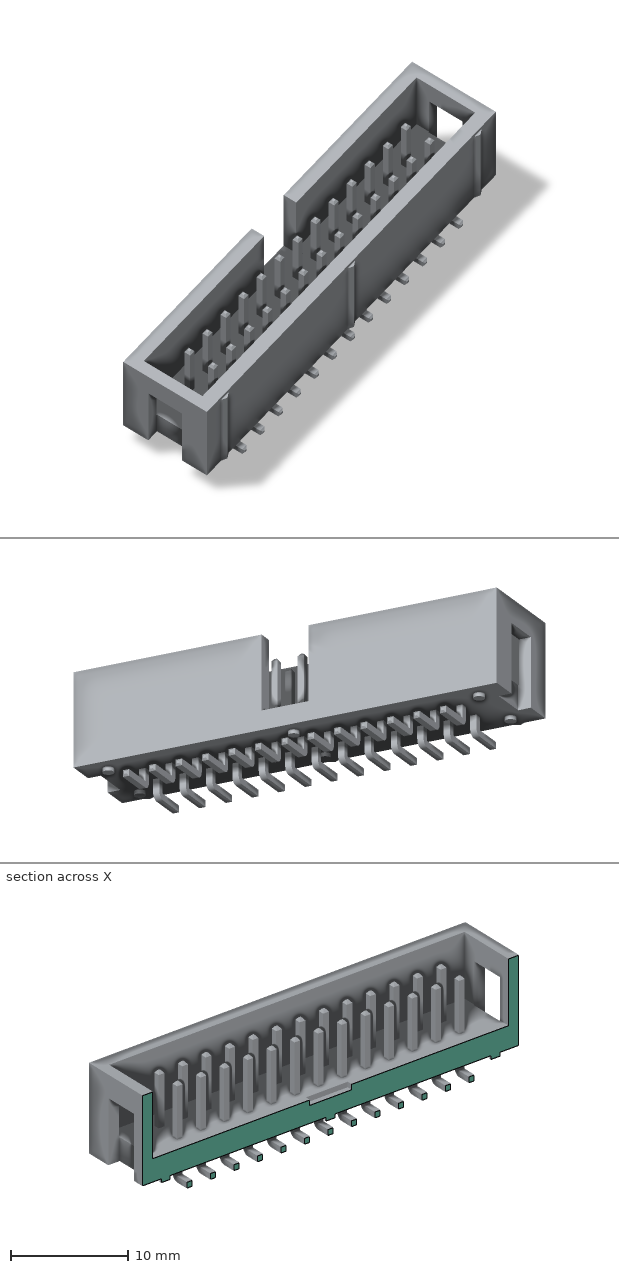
import cadquery as cq
import math

length = 40.7
width = 8.95
height = 8.8
side_wall = 1.35
end_wall = 1.15
floor_thickness = 2.3

window_width = 3.6
window_top = 6.5
window_floor_bite = 0.1
window_depth = end_wall + window_floor_bite

notch_width = 4.5
notch_depth = 2.07
notch_bottom = 1.8

rows = 13
row_span = 30.45
row_pitch = row_span / (rows - 1)
column_spacing = row_pitch
pin_size = 0.6
pin_top = 7.73
foot_bottom = -1.85
foot_reach = 4.75
shank_tip_length = 0.25
foot_tip_length = 0.15
tip_inset = 0.185
bend_radius = 0.65

support_places = (-17.8, 0.0, 17.8)
standoff_diameter = 1.0
standoff_height = 0.35
standoff_offset = 2.9
rib_base = 1.05
rib_height = 8.42
rib_projection = foot_reach - width / 2


def box_on(x_size, y_size, z_bottom, z_top):
    """Box centred on the Z axis between two heights."""
    box = cq.Workplane("XY").workplane(offset=z_bottom).rect(x_size, y_size)
    return box.extrude(z_top - z_bottom)


def make_housing():
    body = box_on(width, length, 0, height)
    body = body.cut(box_on(width - 2 * side_wall, length - 2 * end_wall, floor_thickness, height))
    window = box_on(window_width, window_depth, 0, window_top)
    for side in (-1, 1):
        body = body.cut(window.translate((0, side * (length - window_depth) / 2, 0)))
    notch = box_on(notch_depth, notch_width, notch_bottom, height)
    return body.cut(notch.translate(((notch_depth - width) / 2, 0, 0)))


def make_tip(plane, tip_length):
    """Tapered square pin end, growing along the normal of the plane."""
    end_size = pin_size - 2 * tip_inset
    tip = cq.Workplane(plane).rect(pin_size, pin_size).workplane(offset=tip_length)
    return tip.rect(end_size, end_size).loft()


def make_pin():
    """Pin of the +X column at Y = 0: upright shank, rounded outer bend and foot towards +X."""
    inner = (column_spacing - pin_size) / 2
    outer = inner + pin_size
    shank_top = pin_top - shank_tip_length
    foot_top = foot_bottom + pin_size
    foot_end = foot_reach - foot_tip_length
    bend_middle = bend_radius * (1 - math.sqrt(0.5))
    pin = (
        cq.Workplane("XZ")
        .moveTo(inner, shank_top)
        .lineTo(outer, shank_top)
        .lineTo(outer, foot_top)
        .lineTo(foot_end, foot_top)
        .lineTo(foot_end, foot_bottom)
        .lineTo(inner + bend_radius, foot_bottom)
        .threePointArc(
            (inner + bend_middle, foot_bottom + bend_middle),
            (inner, foot_bottom + bend_radius),
        )
        .close()
        .extrude(pin_size / 2, both=True)
    )
    top_plane = cq.Plane((column_spacing / 2, 0, shank_top), (1, 0, 0), (0, 0, 1))
    foot_plane = cq.Plane((foot_end, 0, foot_bottom + pin_size / 2), (0, 1, 0), (1, 0, 0))
    pin = pin.union(make_tip(top_plane, shank_tip_length))
    return pin.union(make_tip(foot_plane, foot_tip_length))


def make_standoff(x, y):
    base = cq.Workplane("XY").workplane(offset=-standoff_height).center(x, y)
    return base.circle(standoff_diameter / 2).extrude(standoff_height + floor_thickness / 2)


def make_rib(y):
    wall_x = width / 2
    corners = [
        (wall_x, y - rib_base / 2),
        (wall_x + rib_projection, y),
        (wall_x, y + rib_base / 2),
    ]
    return cq.Workplane("XY").polyline(corners).close().extrude(rib_height)


result = make_housing()

for y in support_places:
    result = result.union(make_rib(y))
    for side in (-1, 1):
        result = result.union(make_standoff(side * standoff_offset, y))

right_pin = make_pin()
left_pin = right_pin.mirror("YZ")
for row in range(rows):
    row_y = row * row_pitch - row_span / 2
    for pin in (left_pin, right_pin):
        result = result.union(pin.translate((0, row_y, 0)))